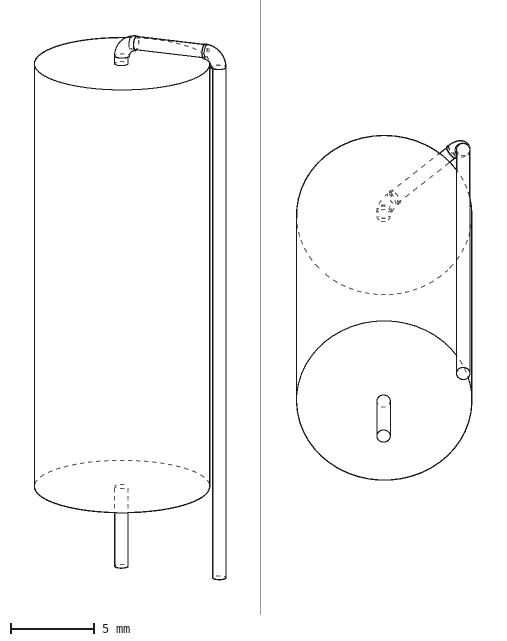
import cadquery as cq

can_diameter = 10.5
can_bottom = 5.0
can_top = 31.5

wire_diameter = 0.8
overall_height = 33.35
lead_pitch = 6.3
axial_lead_x = -0.05
return_lead_x = axial_lead_x + lead_pitch

elbow_diameter = 0.9
elbow_bend_radius = 0.9
elbow_inset = (elbow_diameter - wire_diameter) / 2
elbow_axis_z = overall_height - elbow_diameter / 2
elbow_base_z = elbow_axis_z - elbow_bend_radius
left_elbow_x = axial_lead_x + elbow_inset
right_elbow_x = return_lead_x - elbow_inset

bridge_rise = 0.017
bridge_axis_z = elbow_axis_z + bridge_rise
left_elbow_end_x = left_elbow_x + elbow_bend_radius
right_elbow_end_x = right_elbow_x - elbow_bend_radius
left_socket_depth = 0.3
right_socket_depth = 0.15


def vertical_rod(diameter, x, bottom, top):
    """Round rod parallel to Z at the given X position."""
    return cq.Workplane("XY", origin=(x, 0, bottom)).circle(diameter / 2).extrude(top - bottom)


def make_can():
    """Cylindrical can with one lead stub above and one below."""
    lead = vertical_rod(wire_diameter, axial_lead_x, 0, elbow_base_z)
    return vertical_rod(can_diameter, 0, can_bottom, can_top).union(lead)


def make_bridge():
    """Horizontal wire between the two elbows."""
    start_x = left_elbow_end_x - left_socket_depth
    end_x = right_elbow_end_x + right_socket_depth
    return (
        cq.Workplane("YZ", origin=(start_x, 0, bridge_axis_z))
        .circle(wire_diameter / 2)
        .extrude(end_x - start_x)
    )


def make_elbow(axis_x, inward, bridge):
    """Quarter bend rising from axis_x and turning inward (+1 or -1 along X), with a bridge socket."""
    bend_center_offset = inward * elbow_bend_radius
    bend = (
        cq.Workplane("XY", origin=(axis_x, 0, elbow_base_z))
        .circle(elbow_diameter / 2)
        .revolve(90, (bend_center_offset, 0, 0), (bend_center_offset, inward, 0))
    )
    return bend.cut(bridge)


can = make_can()
bridge = make_bridge()
return_lead = vertical_rod(wire_diameter, return_lead_x, 0, elbow_base_z)
elbows = [
    make_elbow(axis_x, inward, bridge)
    for axis_x, inward in ((left_elbow_x, 1), (right_elbow_x, -1))
]

result = cq.Compound.makeCompound(
    [can.val(), bridge.val(), return_lead.val(), *(elbow.val() for elbow in elbows)]
)